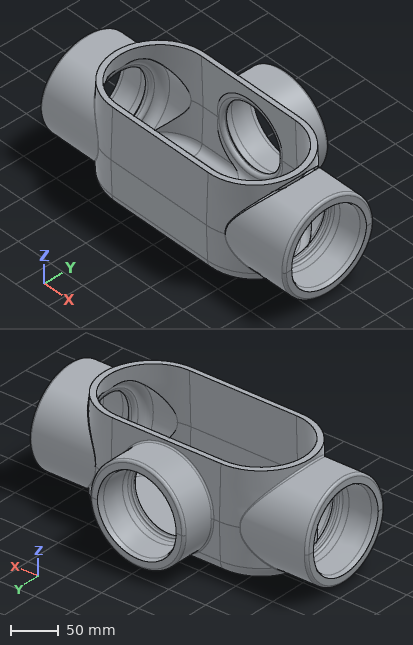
import cadquery as cq
import math

end_hub_reach = 189.0
side_hub_reach = 115.8
rim_height = 70.0
base_depth = 66.5
draft = 2.0

body_straight_half = 73.8
body_radius = 69.0
base_edge_radius = 18.0
wall = 6.8
extra_end_wall = 1.0
cavity_straight_half = body_straight_half - extra_end_wall
cavity_radius = body_radius - wall
cavity_depth = base_depth - wall
floor_edge_radius = base_edge_radius - wall

hub_radius = 128.5 / 2
hub_edge_radius = 3.5
hub_root_radius = 2.0
hub_burial = 45.5

mouth_radius = 107.0 / 2
mouth_chamfer_depth = 7.0
thread_radius = 101.8 / 2
thread_end_radius = 97.0 / 2
thread_depth = 35.5
relief_radius = 96.0 / 2
relief_depth = 43.5
relief_corner_radius = 2.5
throat_radius = 87.5 / 2
throat_lip_radius = relief_radius - throat_radius - relief_corner_radius

flare_radius = cavity_depth
flare_corner_radius = floor_edge_radius
flare_lip_radius = flare_radius - flare_corner_radius - throat_radius
flare_length = 56.7
end_flare_inset = 1.5


def racetrack(straight_half, radius):
    """Closed racetrack outline on the parting plane."""
    return (
        cq.Workplane("XY")
        .moveTo(-straight_half, -radius)
        .lineTo(straight_half, -radius)
        .threePointArc((straight_half + radius, 0), (straight_half, radius))
        .lineTo(-straight_half, radius)
        .threePointArc((-straight_half - radius, 0), (-straight_half, -radius))
        .close()
    )


def drafted_racetrack(straight_half, radius, depth, edge_radius):
    """Racetrack that narrows above and below the parting plane, with a rounded bottom edge."""
    outline = racetrack(straight_half, radius)
    upper = outline.extrude(rim_height, taper=draft)
    lower = racetrack(straight_half, radius).extrude(-depth, taper=draft)
    return upper.union(lower).faces("<Z").edges().fillet(edge_radius)


def hub(reach, start):
    """Solid hub along +X, its end face leaning back both ways from the parting plane."""
    lean = hub_radius * math.tan(math.radians(draft))
    barrel = cq.Workplane("YZ", origin=(start, 0, 0)).circle(hub_radius).extrude(reach - start)
    barrel = barrel.rotate((0, 0, 0), (1, 0, 0), -90)
    upper_envelope = (
        cq.Workplane("XZ")
        .moveTo(start, 0)
        .lineTo(reach, 0)
        .lineTo(reach - 2 * lean, 2 * hub_radius)
        .lineTo(start, 2 * hub_radius)
        .close()
        .extrude(2 * hub_radius, both=True)
    )
    upper = barrel.intersect(upper_envelope).edges("%ELLIPSE").fillet(hub_edge_radius)
    return upper.union(upper.mirror("XY"))


def bore(reach, flare_wall):
    """Tapered bore along +X, a rounded throat, and a flare that opens into the cavity."""
    start = flare_wall - flare_length
    relief_end = reach - relief_depth
    shoulder = relief_end - relief_corner_radius
    return (
        cq.Workplane("XZ")
        .moveTo(start, 0)
        .lineTo(reach, 0)
        .lineTo(reach, mouth_radius)
        .lineTo(reach - mouth_chamfer_depth, thread_radius)
        .lineTo(reach - thread_depth, thread_end_radius)
        .lineTo(relief_end, relief_radius)
        .radiusArc((shoulder, relief_radius - relief_corner_radius), -relief_corner_radius)
        .radiusArc((shoulder - throat_lip_radius, throat_radius), throat_lip_radius)
        .lineTo(flare_wall + flare_lip_radius, throat_radius)
        .radiusArc((flare_wall, throat_radius + flare_lip_radius), flare_lip_radius)
        .radiusArc((flare_wall - flare_corner_radius, flare_radius), -flare_corner_radius)
        .lineTo(start, flare_radius)
        .close()
        .revolve(360, (0, 0, 0), (1, 0, 0))
    )


def turned(shape, direction):
    """Turn a shape built along +X to a direction about Z, in degrees."""
    return shape.rotate((0, 0, 0), (0, 0, 1), direction)


def is_hub_root(edge):
    """True for the curved edges where a hub leaves the body, short of the hub faces."""
    centre = edge.Center()
    beyond_body = abs(centre.x) > body_straight_half + body_radius or centre.y > body_radius
    return edge.geomType() in ("BSPLINE", "ELLIPSE") and not beyond_body


end_wall = cavity_straight_half + cavity_radius
hubs = (
    (end_hub_reach, end_wall - end_flare_inset, 0),
    (side_hub_reach, cavity_radius, 90),
    (end_hub_reach, end_wall - end_flare_inset, 180),
)

result = drafted_racetrack(body_straight_half, body_radius, base_depth, base_edge_radius)
for reach, flare_wall, direction in hubs:
    result = result.union(turned(hub(reach, flare_wall - hub_burial), direction))
hub_roots = [edge for edge in result.edges().vals() if is_hub_root(edge)]
result = result.newObject(hub_roots).fillet(hub_root_radius)

cavity = drafted_racetrack(cavity_straight_half, cavity_radius, cavity_depth, floor_edge_radius)
result = result.cut(cavity)
for reach, flare_wall, direction in hubs:
    result = result.cut(turned(bore(reach, flare_wall), direction))